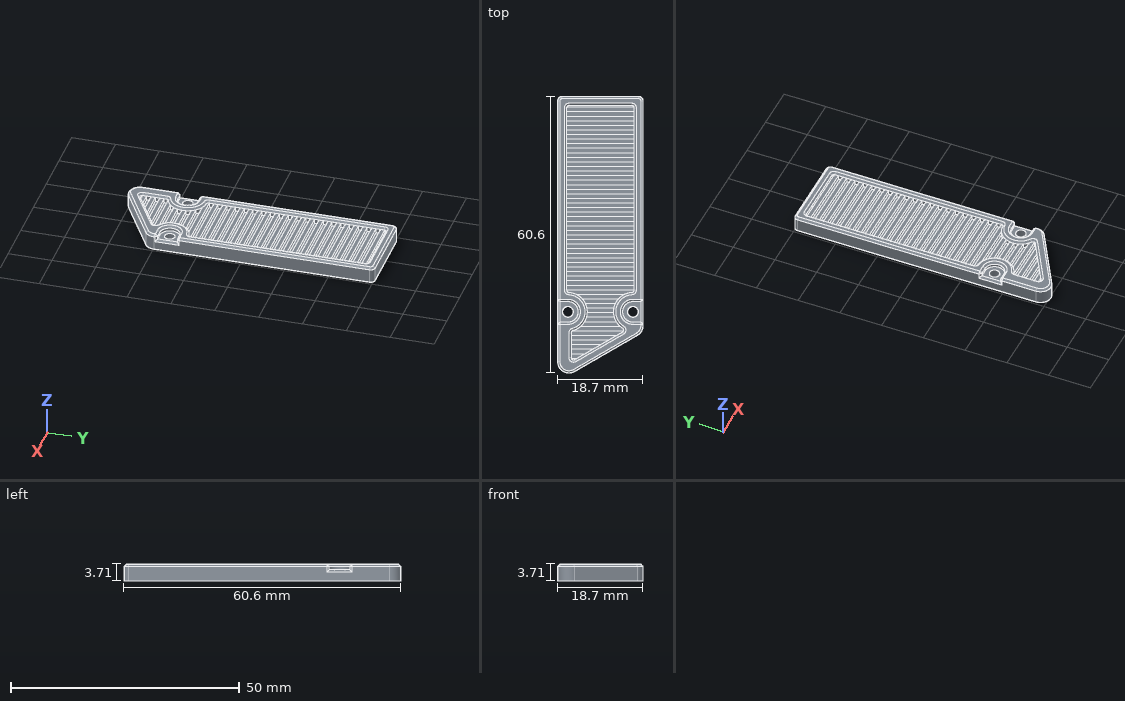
import cadquery as cq
import math

width = 18.74
length = 60.58
thickness = 3.71
half_width = width / 2
y_top = 47.17
y_bottom = y_top - length
slant_angle = math.radians(30)
top_corner_radius = 1.0
lower_corner_radius = 2.5
edge_chamfer = 0.5

hole_diameter = 2.3
hole_side_distance = 2.25
hole_x = half_width - hole_side_distance
hole_centers = [(-hole_x, 0), (hole_x, 0)]
notch_radius = 2.25
notch_depth = 1.2
notch_floor_z = thickness - notch_depth

pocket_depth = 1.5
pocket_floor_z = thickness - pocket_depth
pocket_margin = 2.0
pocket_lower_left_margin = 3.0
pocket_slant_margin = 2.25
pocket_corner_radius = 0.5
boss_rim_width = 1.0
boss_radius = notch_radius + boss_rim_width + 2 * edge_chamfer

rib_width = 1.0
rib_pitch = 2.0
rib_height = 1.0
first_rib_edge_y = 44.815
rib_count = math.ceil((first_rib_edge_y - y_bottom) / rib_pitch)

slant_start_y = y_bottom + lower_corner_radius * (
    1 - math.tan(slant_angle) - 1 / math.cos(slant_angle)
)

tolerance = 0.01


def slant_y(x, margin=0.0):
    """Height at x of the slanted end, moved inward by margin."""
    rise = (x + half_width) * math.tan(slant_angle)
    return slant_start_y + rise + margin / math.cos(slant_angle)


def make_plate():
    """Plate with square upper corners rounded lightly and a slanted, well-rounded lower end."""
    plate = (
        cq.Workplane("XY")
        .polyline([
            (-half_width, y_top),
            (half_width, y_top),
            (half_width, slant_y(half_width)),
            (-half_width, slant_y(-half_width)),
        ])
        .close()
        .extrude(thickness)
    )
    upper_corners = cq.selectors.BoxSelector((-width, 0, 0), (width, length, thickness))
    plate = plate.edges(upper_corners).edges("|Z").fillet(top_corner_radius)
    lower_corners = cq.selectors.BoxSelector((-width, -length, 0), (width, 0, thickness))
    return plate.edges(lower_corners).edges("|Z").fillet(lower_corner_radius)


def make_notch(side):
    """Round-ended slot from around a screw hole out through one side of the plate."""
    round_end = (
        cq.Workplane("XY", origin=(side * hole_x, 0, notch_floor_z))
        .circle(notch_radius)
        .extrude(notch_depth)
    )
    opening_center_x = side * (hole_x + half_width) / 2
    opening = (
        cq.Workplane("XY", origin=(opening_center_x, 0, notch_floor_z))
        .rect(hole_side_distance, 2 * notch_radius)
        .extrude(notch_depth)
    )
    return round_end.union(opening)


def is_notch_side_edge(edge):
    """True for the floor edge and the upright edges where a notch breaks through a side."""
    center = edge.Center()
    on_side = abs(abs(center.x) - half_width) < tolerance
    at_notch = abs(center.y) < notch_radius + tolerance
    between_floor_and_top = notch_floor_z - tolerance < center.z < thickness - tolerance
    return on_side and at_notch and between_floor_and_top


def chamfer_outer_edges(body):
    """Chamfer the whole top outline, following the notches down to their floors."""
    top_edges = body.faces(">Z").edges().vals()
    notch_edges = [edge for edge in body.edges().vals() if is_notch_side_edge(edge)]
    return body.newObject(top_edges + notch_edges).chamfer(edge_chamfer)


def make_pocket_block(height):
    """Block standing on the pocket floor with the pocket's outline, which bends round both bosses."""
    left = -half_width + pocket_margin
    right = half_width - pocket_margin
    upper = y_top - pocket_margin
    lower_left = -half_width + pocket_lower_left_margin
    floor = cq.Workplane("XY", origin=(0, 0, pocket_floor_z))
    block = (
        floor
        .polyline([
            (left, upper),
            (right, upper),
            (right, slant_y(right, pocket_slant_margin)),
            (lower_left, slant_y(lower_left, pocket_slant_margin)),
            (lower_left, 0),
            (left, 0),
        ])
        .close()
        .extrude(height)
    )
    bosses = floor.pushPoints(hole_centers).circle(boss_radius).extrude(height)
    return block.cut(bosses).edges("|Z").fillet(pocket_corner_radius)


def cut_pocket(body):
    """Sink the pocket and chamfer its upper edge."""
    body = body.cut(make_pocket_block(pocket_depth))
    pocket_rim = body.faces(">Z").val().innerWires()[0]
    return body.newObject(pocket_rim.Edges()).chamfer(edge_chamfer)


def make_ribs():
    """Evenly spaced bars along X, trimmed to the pocket's outline."""
    first_center_y = first_rib_edge_y - rib_width / 2
    centers = [(0, first_center_y - i * rib_pitch) for i in range(rib_count)]
    bars = (
        cq.Workplane("XY", origin=(0, 0, pocket_floor_z))
        .pushPoints(centers)
        .rect(width, rib_width)
        .extrude(rib_height)
    )
    return bars.intersect(make_pocket_block(rib_height))


def make_screw_holes():
    return (
        cq.Workplane("XY")
        .pushPoints(hole_centers)
        .circle(hole_diameter / 2)
        .extrude(thickness)
    )


body = make_plate()
for side in (-1, 1):
    body = body.cut(make_notch(side))
body = chamfer_outer_edges(body)
body = cut_pocket(body)
body = body.union(make_ribs())
result = body.cut(make_screw_holes())